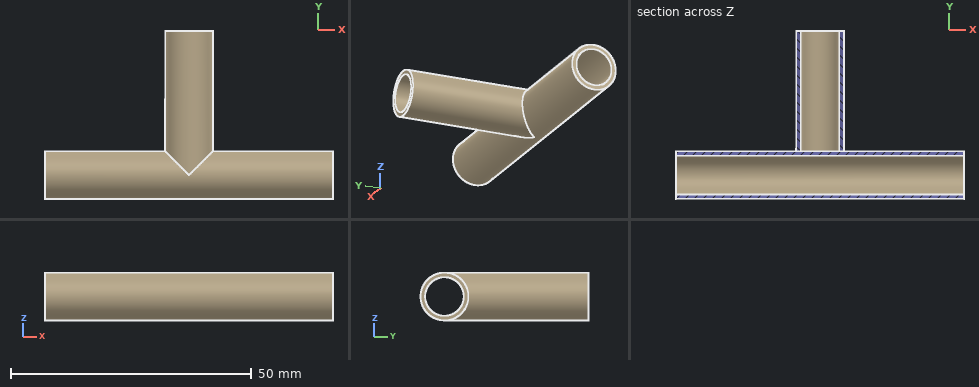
import cadquery as cq

outer_diameter = 10.0
bore_diameter = 8.0
run_length = 60.0
branch_reach = 30.0

outer_radius = outer_diameter / 2
bore_radius = bore_diameter / 2


def make_run_cylinder(radius):
    """Solid cylinder along X with the length of the run, centred on the origin."""
    return cq.Workplane("YZ", origin=(-run_length / 2, 0, 0)).circle(radius).extrude(run_length)


def make_branch_cylinder(radius):
    """Solid cylinder along Y, from the outer end of the branch back to the run axis."""
    return cq.Workplane("XZ", origin=(0, branch_reach, 0)).circle(radius).extrude(branch_reach)


def make_run_tube():
    """Straight tube along X, open at both ends."""
    return make_run_cylinder(outer_radius).cut(make_run_cylinder(bore_radius)).solids()


def make_branch_tube():
    """Tube along +Y, its inner end coped to sit on the outside of the run tube."""
    straight_tube = make_branch_cylinder(outer_radius).cut(make_branch_cylinder(bore_radius))
    return straight_tube.cut(make_run_cylinder(outer_radius)).solids()


run_tube = make_run_tube()
branch_tube = make_branch_tube()

result = cq.Compound.makeCompound([run_tube.val(), branch_tube.val()])